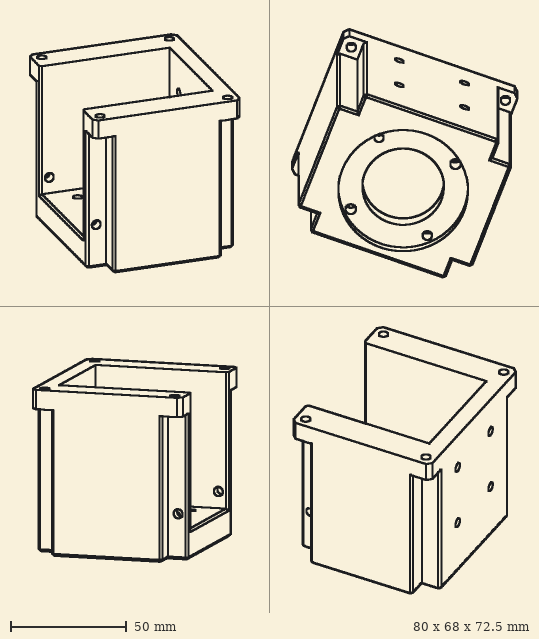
import cadquery as cq

length = 80
width = 68
height = 72.5
front_y = -width / 2

flange_thickness = 8.5
flange_corner_chamfer = 2.0
notch_size = 9.0
edge_chamfer = 1.0
flange_bottom_z = height - flange_thickness

pocket_length = 52
back_wall = 8
floor_thickness = 12.7
pocket_depth = width - back_wall

hole_diameter = 4
wide_floor_hole_diameter = 4.5
flange_hole_inset = 4.6
bore_diameter = 35.2
recess_diameter = 56
recess_depth = 4.7
bore_y = front_y + 32
floor_hole_spacing = 35.2
back_hole_spacing_x = 30.0
back_hole_spacing_z = 29.5
back_hole_center_z = 40.7
side_hole_inset = 4.5
side_hole_z = 20


def make_body():
    """Cross-shaped column with chamfered edges."""
    body = cq.Workplane("XY").box(length, width, flange_bottom_z, centered=(True, True, False))
    notches = (
        cq.Workplane("XY")
        .rect(length - notch_size, width - notch_size, forConstruction=True)
        .vertices()
        .rect(notch_size, notch_size)
        .extrude(flange_bottom_z)
    )
    body = body.cut(notches)
    outer_faces = body.faces("<X or >X or <Y or >Y")
    body = outer_faces.edges("|Z").chamfer(edge_chamfer)
    return body.faces("<Z").edges().chamfer(edge_chamfer)


def make_flange():
    """Rectangular plate with bevelled corners that caps the column."""
    return (
        cq.Workplane("XY", origin=(0, 0, flange_bottom_z))
        .rect(length, width)
        .extrude(flange_thickness)
        .edges("|Z")
        .chamfer(flange_corner_chamfer)
    )


def make_pocket():
    """Pocket volume, flared at the front opening to bevel its sides and floor."""
    main = cq.Workplane("XY").box(
        pocket_length, pocket_depth, height - floor_thickness, centered=(True, False, False)
    ).translate((0, front_y, floor_thickness))
    mouth_length = pocket_length + 2 * edge_chamfer
    mouth_height = height - floor_thickness + edge_chamfer
    flare = (
        cq.Workplane("XZ", origin=(0, front_y, height))
        .rect(mouth_length, 2 * mouth_height)
        .workplane(offset=-edge_chamfer)
        .rect(pocket_length, 2 * (height - floor_thickness))
        .loft(ruled=True)
    )
    return main.union(flare)


def make_flange_holes():
    """Vertical holes through the four flange corners."""
    return (
        cq.Workplane("XY", origin=(0, 0, flange_bottom_z))
        .rect(length - 2 * flange_hole_inset, width - 2 * flange_hole_inset, forConstruction=True)
        .vertices()
        .circle(hole_diameter / 2)
        .extrude(flange_thickness)
    )


def make_floor_holes():
    """Central bore with a recess underneath, and two diagonal pairs of holes around it."""
    floor = cq.Workplane("XY", origin=(0, bore_y, 0))
    cutter = floor.circle(bore_diameter / 2).extrude(floor_thickness)
    cutter = cutter.union(floor.circle(recess_diameter / 2).extrude(recess_depth))
    offset = floor_hole_spacing / 2
    for diameter, direction in ((wide_floor_hole_diameter, -1), (hole_diameter, 1)):
        diagonal = [(offset, direction * offset), (-offset, -direction * offset)]
        pair = floor.pushPoints(diagonal).circle(diameter / 2).extrude(floor_thickness)
        cutter = cutter.union(pair)
    return cutter


def make_back_holes():
    """Four holes through the back wall."""
    return (
        cq.Workplane("XZ", origin=(0, width / 2, back_hole_center_z))
        .rect(back_hole_spacing_x, back_hole_spacing_z, forConstruction=True)
        .vertices()
        .circle(hole_diameter / 2)
        .extrude(back_wall)
    )


def make_side_hole():
    """Cross hole through both side walls near the front."""
    return (
        cq.Workplane("YZ", origin=(-length / 2, front_y + side_hole_inset, side_hole_z))
        .circle(hole_diameter / 2)
        .extrude(length)
    )


result = (
    make_body()
    .union(make_flange())
    .cut(make_pocket())
    .cut(make_flange_holes())
    .cut(make_floor_holes())
    .cut(make_back_holes())
    .cut(make_side_hole())
)